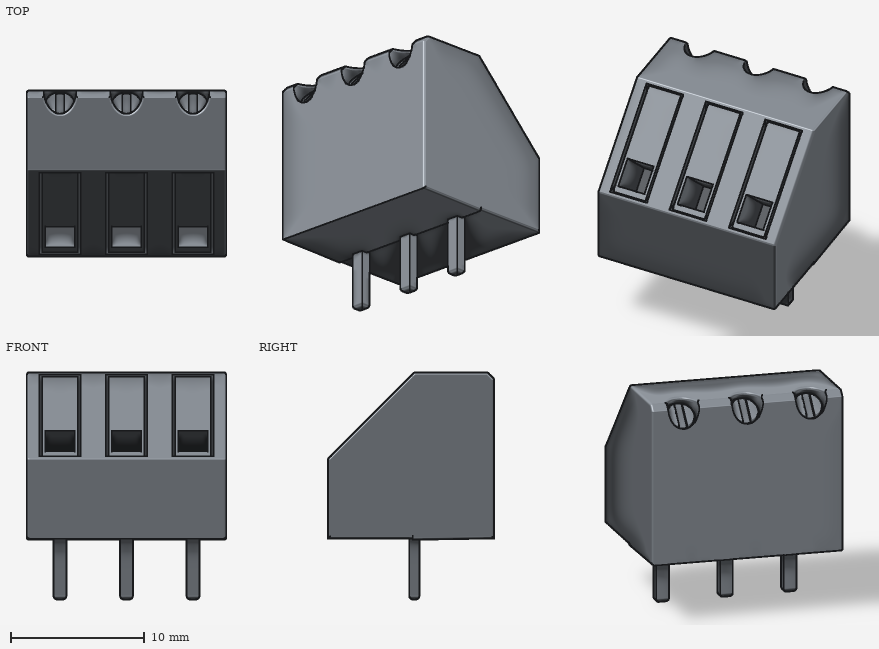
import cadquery as cq
import math


pole_count = 3
pitch = 5.0
pole_positions = [(i - (pole_count - 1) / 2) * pitch for i in range(pole_count)]

width = pole_count * pitch
front_y = -6.5
back_y = 6.0
height = 12.5
slope_leg = 6.5
back_chamfer = 0.5
edge_radius = 0.2

pad_drop = 0.1
pad_front_y = -0.1
pad_top_z = 3.0

window_width = 3.1
window_margin = 0.2
lever_width = 2.7
lever_recess = 0.1

wire_size = 2.2
wire_rim_distance = 0.6
wire_depth = 4.0

well_diameter = 2.46
well_axis_offset = 0.28
well_depth = 2.0
well_rim_radius = 0.2
screw_diameter = 2.16
screw_edge_radius = 0.15
screw_head_depth = 1.6
driver_slot_width = 0.62
driver_slot_depth = 0.2

pin_width = 1.0
pin_thickness = 0.8
pin_length = 4.6
pin_tip_radius = 0.35
pin_root = 1.0

overshoot = 2.0
cos45 = math.sqrt(0.5)

slope_top_y = front_y + slope_leg
slope_bottom_z = height - slope_leg


def extruded_profile(points, length, center_x=0):
    """Prism with a Y-Z outline, centred on center_x."""
    prism = cq.Workplane("YZ").polyline(points).close().extrude(length / 2, both=True)
    return prism.translate((center_x, 0, 0))


def make_housing():
    """Housing with all edges rounded except the front and back edges of its base."""
    outline = [
        (front_y, 0),
        (back_y, 0),
        (back_y, height - back_chamfer),
        (back_y - back_chamfer, height),
        (slope_top_y, height),
        (front_y, slope_bottom_z),
    ]
    housing = extruded_profile(outline, width)
    raised_cross_edges = housing.edges("|X").edges("not <Z")
    return housing.edges("not |X").add(raised_cross_edges).fillet(edge_radius)


def make_pad():
    """Wedge that deepens from the back edge of the base towards the pins."""
    outline = [
        (pad_front_y, pad_top_z),
        (pad_front_y, -pad_drop),
        (back_y, 0),
        (back_y, pad_top_z),
    ]
    pad = extruded_profile(outline, width)
    bottom_side_edges = pad.faces("<Z").edges("not |X")
    return bottom_side_edges.add(pad.faces(">Y").edges("|Z")).fillet(edge_radius)


def well_plane(x, depth):
    """Plane across the axis of a well, at a depth along the axis below the top plane."""
    axis = cq.Vector(0, cos45, cos45)
    mouth = cq.Vector(x, back_y + well_axis_offset, height)
    return cq.Plane(origin=mouth - axis * depth, xDir=(1, 0, 0), normal=axis)


def make_well(x):
    """Cutter for one well: a tilted cylinder that flares out in a rounded rim at the top plane."""
    bore = cq.Workplane(well_plane(x, well_depth)).circle(well_diameter / 2)
    bore = bore.extrude(well_depth + overshoot)
    block_size = 3 * well_diameter
    block = cq.Workplane("XY", origin=(x, back_y, height)).rect(block_size, block_size)
    block = block.extrude(-block_size)
    rounded_block = block.cut(bore).faces(">Z").edges("%ELLIPSE").fillet(well_rim_radius)
    return block.cut(rounded_block).union(bore)


def make_screw(x):
    """Slotted screw head standing on the floor of a well."""
    head = cq.Workplane(well_plane(x, well_depth)).circle(screw_diameter / 2)
    head = head.extrude(well_depth - screw_head_depth)
    head = head.edges(">Z").fillet(screw_edge_radius)
    slot = cq.Workplane(well_plane(x, screw_head_depth + driver_slot_depth))
    slot = slot.rect(driver_slot_width, 2 * screw_diameter).extrude(2 * driver_slot_depth)
    return head.cut(slot)


def lever_triangle(recess):
    """Triangle between the back wall and floor of a window and a plane parallel to the slope."""
    wall_y = slope_top_y - window_margin
    floor_z = slope_bottom_z + window_margin
    leg = slope_leg - 2 * window_margin - recess / cos45
    return [(wall_y, floor_z), (wall_y, floor_z + leg), (wall_y - leg, floor_z)]


def make_wire_entry(x):
    """Square cutter for one wire entry, square to the slope."""
    inset = window_margin + (wire_rim_distance + wire_size / 2) * cos45
    outward = cq.Vector(0, -cos45, cos45)
    mouth = cq.Vector(x, front_y + inset, slope_bottom_z + inset)
    plane = cq.Plane(origin=mouth, xDir=(1, 0, 0), normal=outward)
    tool = cq.Workplane(plane).workplane(offset=-wire_depth)
    return tool.rect(wire_size, wire_size).extrude(wire_depth + overshoot)


def make_pin(x):
    """Rectangular solder pin with a rounded tip."""
    pin = cq.Workplane("XY", origin=(x, 0, -pin_length)).rect(pin_width, pin_thickness)
    pin = pin.extrude(pin_length + pin_root)
    return pin.faces("<Z").edges().fillet(pin_tip_radius)


result = make_housing().union(make_pad())
for pole_x in pole_positions:
    result = result.cut(make_well(pole_x)).union(make_screw(pole_x))
    result = result.cut(extruded_profile(lever_triangle(0), window_width, pole_x))
    result = result.union(extruded_profile(lever_triangle(lever_recess), lever_width, pole_x))
    result = result.cut(make_wire_entry(pole_x))
    result = result.union(make_pin(pole_x))